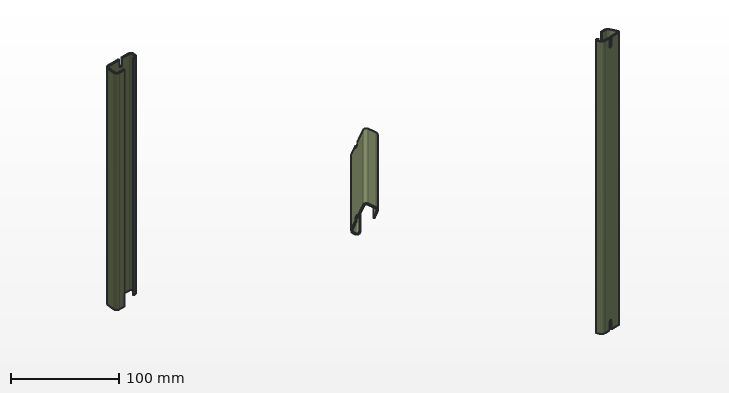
import cadquery as cq

length = 290.0
width = 15.0
height = 32.0

thickness = 1.5
outer_radius = 3.5
inner_radius = outer_radius - thickness

short_flange_width = 9.0
short_lip_length = 5.0
long_lip_length = 10.5

slot_width = 3.8
slot_depth = 10.0
slot_from_short_flange = 14.0
cutter_depth = 4 * thickness

web_x = -width / 2
bottom_y = -height / 2
top_y = height / 2


def corner_block(x_min, y_min, x_size, y_size, z_size):
    """Box placed by its lowest X and Y corner and centred on Z."""
    block = cq.Workplane("XY").box(x_size, y_size, z_size, centered=(False, False, True))
    return block.translate((x_min, y_min, 0))


def bent_tube(x_size):
    """Rounded rectangular tube, of full height, that the web, flanges and lips are cut from."""
    outside = corner_block(web_x, bottom_y, x_size, height, length).edges("|Z").fillet(outer_radius)
    inside = corner_block(
        web_x + thickness,
        bottom_y + thickness,
        x_size - 2 * thickness,
        height - 2 * thickness,
        length,
    )
    return outside.cut(inside.edges("|Z").fillet(inner_radius))


def half_profile(x_size, lip_length, y_start, lip_y):
    """Half of the web with its flange and lip, on the Y side starting at y_start."""
    tube = bent_tube(x_size)
    half = corner_block(web_x, y_start, x_size, height / 2, length)
    web_and_flange = corner_block(web_x, bottom_y, x_size - outer_radius, height, length)
    lip = corner_block(web_x, lip_y, x_size, lip_length, length)
    return tube.intersect(half).intersect(web_and_flange.union(lip))


def end_slot(end):
    """Round-bottomed slot through the web; end is 1 for the top and -1 for the bottom."""
    slot_y = top_y - slot_from_short_flange
    round_z = end * (length / 2 - slot_depth + slot_width / 2)
    straight_length = length / 2 - abs(round_z)
    straight = (
        cq.Workplane("XY")
        .box(cutter_depth, slot_width, straight_length)
        .translate((web_x, slot_y, round_z + end * straight_length / 2))
    )
    rounded = (
        cq.Workplane("YZ", origin=(web_x - cutter_depth / 2, slot_y, round_z))
        .circle(slot_width / 2)
        .extrude(cutter_depth)
    )
    return straight.union(rounded)


long_side = half_profile(width, long_lip_length, bottom_y, bottom_y)
short_side = half_profile(short_flange_width, short_lip_length, 0, top_y - short_lip_length)
result = long_side.union(short_side)
for end in (1, -1):
    result = result.cut(end_slot(end))